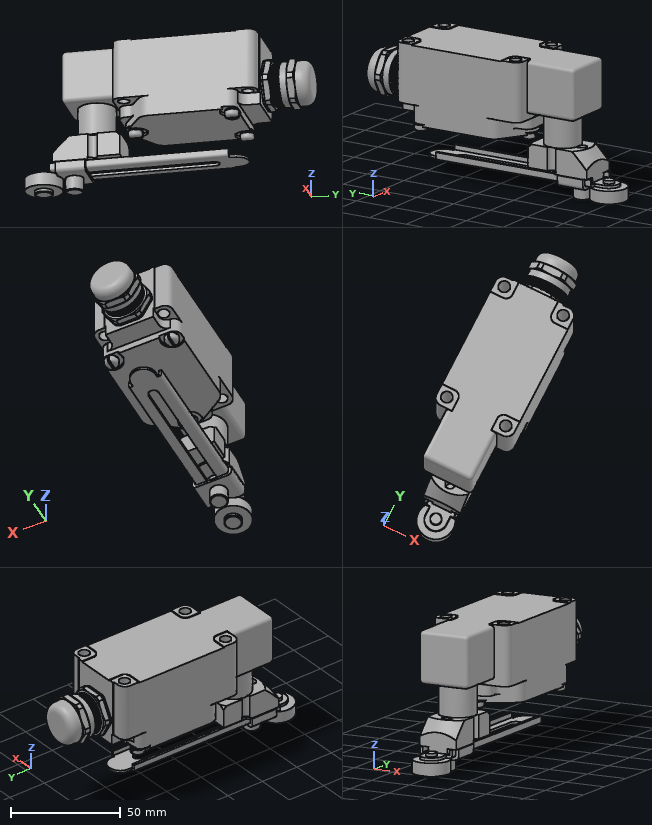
import cadquery as cq
import math


PART_LENGTH = 136.2

CASE_WIDTH = 40.0
CASE_LENGTH = 67.9
PAD_TOP = 28.7
PAD_HEIGHT = 0.4
CASE_TOP = PAD_TOP - PAD_HEIGHT
CASE_CORNER_RADIUS = 4.1
HEAD_WIDTH = 25.8
REAR_FACE_Y = 68.4
PAD_WIDTH = 10.0
PAD_LENGTH = 9.4
PAD_CORNER_RADIUS = 3.3
MOUNT_HOLE_DIAMETER = 5.5
MOUNT_HOLE_X = 15.1
MOUNT_HOLE_FRONT_Y = 4.8
MOUNT_HOLE_PITCH_Y = 58.6

HEAD_LENGTH = 25.5
HEAD_BOTTOM = 2.9
HEAD_FILLET = 2.0

COVER_BOTTOM = -9.8
COVER_REAR_Y = 58.9
COVER_REAR_RADIUS = 4.0
COVER_SIDE_RADIUS = 6.1
COVER_TIP_RADIUS = 4.5
V_ANGLE = math.radians(31.5)
TIP_SCREW_Y = 6.8
V_APEX_Y = TIP_SCREW_Y - COVER_TIP_RADIUS / math.cos(V_ANGLE)
LIP_BOTTOM = -5.7
REAR_NECK_WIDTH = 24.5
FRONT_NECK_WIDTH = 19.6
FRONT_NECK_Y = 0.7
FRONT_NECK_CORNER_RADIUS = 4.1
FRONT_NECK_FILLET = 2.7

REAR_SCREW_X = 15.5
REAR_SCREW_Y = 56.0
SCREW_SEAT_DIAMETER = 11.5
SCREW_SEAT_DEPTH = 1.2
SCREW_HEAD_DIAMETER = 7.0
SCREW_NECK_DIAMETER = 5.2
SCREW_HEAD_TOP = -9.5
SCREW_HEAD_BOTTOM = -12.7
SCREW_HEAD_FILLET = 1.4
SCREW_SLOT_WIDTH = 0.8
SCREW_SLOT_DEPTH = 2.2

GLAND_Z = 7.4
GLAND_END_Y = 90.9
CAP_DIAMETER = 21.4
CAP_START_Y = 76.7
CAP_FILLET = 4.0
HEX_FLATS = 22.1
HEX_CORNER_DIAMETER = 24.1
HEX_TURN = 30
HEX_CHAMFER_LENGTH = 0.4
HEX_CHAMFER_DEPTH = 1.0
CAP_HEX_START_Y = 80.4
CAP_HEX_END_Y = 84.2
BASE_HEX_START_Y = 69.4
BASE_HEX_END_Y = 72.5
COLLAR_FLATS = 21.4
COLLAR_CORNER_DIAMETER = 23.6
THREAD_DIAMETER = 19.9
THREAD_ROOT_DIAMETER = 18.5
THREAD_COUNT = 5

SHAFT_Y = -11.3
SHAFT_DIAMETER = 17.8
CLAMP_WIDTH = 19.2
CLAMP_REAR_Y = 1.6
CLAMP_FRONT_Y = -30.4
CLAMP_TOP = -12.3
CLAMP_REAR_BOTTOM = -23.6
CLAMP_BOTTOM = -24.7
CLAMP_STEP_SIDE_Y = -13.6
CLAMP_STEP_CENTER_Y = -7.6
CLAMP_GROOVE_DIAMETER = 4.5
CONE_TOP_RADIUS = 14.7
CONE_DROP = 3.8
CONE_RUN = 3.2
BOLT_Y = -22.0
BOLT_DIAMETER = 8.5
BOLT_CHAMFER = 0.4
BOLT_HOLE_DIAMETER = 4.5
BOLT_HOLE_DEPTH = 8.2
BOSS_DIAMETER = 12.0
BOSS_FRONT_WIDTH = 9.8
BRACKET_WIDTH = 20.2
BRACKET_REAR_Y = -14.7
BRACKET_FRONT_Y = -28.7
BRACKET_BOTTOM = -30.0
BRACKET_RADIUS = 2.0
ROLLER_CLEARANCE = 0.4

CHANNEL_WIDTH = 16.9
CHANNEL_REAR_Y = 52.6
CHANNEL_FRONT_Y = -32.0
CHANNEL_BOTTOM = -28.5
STRIP_THICKNESS = 1.4
WEB_TOP = CHANNEL_BOTTOM + STRIP_THICKNESS
CHANNEL_BEND_RADIUS = 1.2
SLOT_WIDTH = 5.2
SLOT_REAR_Y = 46.3
SLOT_FRONT_Y = -27.2
TAIL_DIAMETER = 12.8
TAIL_CENTER_Y = 54.1
TONGUE_DIAMETER = 10.6
ROLLER_DIAMETER = 17.8
ROLLER_Y = GLAND_END_Y - PART_LENGTH + ROLLER_DIAMETER / 2
ROLLER_TOP = -28.7
ROLLER_BOTTOM = -35.0
RIVET_DIAMETER = 5.3
RIVET_TOP = -25.6
RIVET_HEAD_DIAMETER = 8.5
RIVET_HEAD_CHAMFER = 0.4
PART_BOTTOM = -36.8


def block(x_range, y_range, z_range):
    """Axis-aligned box between the given limits."""
    (x0, x1), (y0, y1), (z0, z1) = x_range, y_range, z_range
    return cq.Workplane("XY").box(x1 - x0, y1 - y0, z1 - z0, centered=False).translate((x0, y0, z0))


def centered_block(width, y_range, z_range):
    """Box symmetric about X = 0."""
    return block((-width / 2, width / 2), y_range, z_range)


def post(diameter, center, z_range):
    """Vertical cylinder."""
    z0, z1 = z_range
    return cq.Workplane("XY", origin=(*center, z0)).circle(diameter / 2).extrude(z1 - z0)



def case_body():
    """Upper part of the case, its top lowered slightly except at the four mounting pads."""
    case = centered_block(CASE_WIDTH, (0, CASE_LENGTH), (0, PAD_TOP)).edges("|Z").fillet(CASE_CORNER_RADIUS)
    case = case.union(centered_block(HEAD_WIDTH, (CASE_LENGTH / 2, REAR_FACE_Y), (0, PAD_TOP)))
    pad_inner_x = CASE_WIDTH / 2 - PAD_WIDTH
    top_layer = (CASE_TOP, PAD_TOP)
    relief = centered_block(CASE_WIDTH, (0, REAR_FACE_Y), top_layer)
    for x_range, inner_x in (((-CASE_WIDTH / 2, -pad_inner_x), ">X"), ((pad_inner_x, CASE_WIDTH / 2), "<X")):
        for y_range, inner_y in (((0, PAD_LENGTH), ">Y"), ((CASE_LENGTH - PAD_LENGTH, REAR_FACE_Y), "<Y")):
            pad = block(x_range, y_range, top_layer)
            relief = relief.cut(pad.faces(inner_x).edges("|Z").edges(inner_y).fillet(PAD_CORNER_RADIUS))
    return case.cut(relief)


def head_block():
    head = centered_block(HEAD_WIDTH, (-HEAD_LENGTH, 0), (HEAD_BOTTOM, CASE_TOP))
    return head.faces("not >Y").edges("not >Y").fillet(HEAD_FILLET)


def v_side_y(distance):
    """Y of the V-shaped front at a distance from the plane of symmetry."""
    return V_APEX_Y + distance * math.tan(V_ANGLE)


def cover():
    """Cover plate with a straight rear edge and a V-shaped front rounded around the tip screw."""
    half_width = CASE_WIDTH / 2
    shoulder_y = v_side_y(half_width)
    plate = (
        cq.Workplane("XY", origin=(0, 0, COVER_BOTTOM))
        .moveTo(0, V_APEX_Y)
        .lineTo(half_width, shoulder_y)
        .lineTo(half_width, COVER_REAR_Y)
        .lineTo(-half_width, COVER_REAR_Y)
        .lineTo(-half_width, shoulder_y)
        .close()
        .extrude(-COVER_BOTTOM)
    )
    plate = plate.edges("|Z and >Y").fillet(COVER_REAR_RADIUS)
    plate = plate.edges("|Z and <Y").fillet(COVER_TIP_RADIUS)
    for side in (-half_width, half_width):
        shoulder = cq.selectors.NearestToPointSelector((side, shoulder_y, COVER_BOTTOM / 2))
        plate = plate.edges("|Z").edges(shoulder).fillet(COVER_SIDE_RADIUS)
    return plate


def necks():
    """Shallow necks joining the cover to the front and rear of the case, with filleted inner corners."""
    span = (LIP_BOTTOM, 0)
    round_y = COVER_REAR_Y + COVER_REAR_RADIUS
    rear = centered_block(REAR_NECK_WIDTH, (CASE_LENGTH / 2, REAR_FACE_Y), span)
    for side in (-1, 1):
        root_x = side * REAR_NECK_WIDTH / 2
        outer_x = root_x + side * COVER_REAR_RADIUS
        corner = block(sorted((root_x, outer_x)), (COVER_REAR_Y, round_y), span)
        rear = rear.union(corner.cut(post(2 * COVER_REAR_RADIUS, (outer_x, round_y), span)))

    front = centered_block(FRONT_NECK_WIDTH, (FRONT_NECK_Y, CASE_LENGTH / 2), span)
    front = front.edges("|Z and <Y").fillet(FRONT_NECK_CORNER_RADIUS)
    return rear, front


def screw(center):
    """Slotted screw with a rounded head, slot along Y."""
    head = post(SCREW_HEAD_DIAMETER, center, (SCREW_HEAD_BOTTOM, SCREW_HEAD_TOP))
    head = head.faces("<Z").edges().fillet(SCREW_HEAD_FILLET)
    x, y = center
    slot = cq.Workplane("XY").box(SCREW_SLOT_WIDTH, SCREW_HEAD_DIAMETER, SCREW_SLOT_DEPTH)
    head = head.cut(slot.translate((x, y, SCREW_HEAD_BOTTOM + SCREW_SLOT_DEPTH / 2)))
    return head.union(post(SCREW_NECK_DIAMETER, center, (SCREW_HEAD_TOP, COVER_BOTTOM + SCREW_SEAT_DEPTH)))


def make_housing():
    rear_neck, front_neck = necks()
    lower = cover().union(front_neck)
    root_y = v_side_y(FRONT_NECK_WIDTH / 2)
    for side in (-1, 1):
        root = (side * FRONT_NECK_WIDTH / 2, root_y, LIP_BOTTOM / 2)
        lower = lower.edges("|Z").edges(cq.selectors.NearestToPointSelector(root)).fillet(FRONT_NECK_FILLET)
    lower = lower.union(rear_neck)

    screw_centers = [(0, TIP_SCREW_Y), (-REAR_SCREW_X, REAR_SCREW_Y), (REAR_SCREW_X, REAR_SCREW_Y)]
    for center in screw_centers:
        lower = lower.cut(post(SCREW_SEAT_DIAMETER, center, (COVER_BOTTOM, COVER_BOTTOM + SCREW_SEAT_DEPTH)))
    housing = case_body().union(head_block()).union(lower)
    for center in screw_centers:
        housing = housing.union(screw(center))

    for x in (-MOUNT_HOLE_X, MOUNT_HOLE_X):
        for y in (MOUNT_HOLE_FRONT_Y, MOUNT_HOLE_FRONT_Y + MOUNT_HOLE_PITCH_Y):
            housing = housing.cut(post(MOUNT_HOLE_DIAMETER, (x, y), (0, PAD_TOP)))
    return housing



def turned(profile):
    """Solid of revolution about the gland axis from (radius, y) points."""
    outline = cq.Workplane("XY", origin=(0, 0, GLAND_Z)).polyline(profile).close()
    return outline.revolve(360, (0, 0, 0), (0, 1, 0))


def hexagon(flats, corner_diameter, y0, y1, chamfers=0):
    """Hexagon with flats facing Z, corners turned round, and 0, 1 (far end) or 2 ends chamfered."""
    outer = corner_diameter / 2
    inner = outer - HEX_CHAMFER_DEPTH
    near = [(inner, y0), (outer, y0 + HEX_CHAMFER_LENGTH)] if chamfers == 2 else [(outer, y0)]
    far = [(outer, y1 - HEX_CHAMFER_LENGTH), (inner, y1)] if chamfers else [(outer, y1)]
    blank = turned([(0, y0), *near, *far, (0, y1)])
    section = cq.Workplane("XZ", origin=(0, y0, GLAND_Z)).polygon(6, flats, circumscribed=True)
    prism = section.extrude(y0 - y1).rotate((0, 0, GLAND_Z), (0, 1, GLAND_Z), HEX_TURN)
    return blank.intersect(prism)


def thread():
    """Ring-shaped V threads between the base hexagon and the cap."""
    pitch = (CAP_START_Y - BASE_HEX_END_Y) / THREAD_COUNT
    root = THREAD_ROOT_DIAMETER / 2
    points = [(0, BASE_HEX_END_Y), (root, BASE_HEX_END_Y)]
    for i in range(THREAD_COUNT):
        start = BASE_HEX_END_Y + i * pitch
        points += [(THREAD_DIAMETER / 2, start + pitch / 2), (root, start + pitch)]
    return turned([*points, (0, CAP_START_Y)])


def make_gland():
    cap_radius = CAP_DIAMETER / 2
    cap = turned([(0, CAP_START_Y), (cap_radius, CAP_START_Y), (cap_radius, GLAND_END_Y), (0, GLAND_END_Y)])
    cap = cap.faces(">Y").edges().fillet(CAP_FILLET)
    cap_hex = hexagon(HEX_FLATS, HEX_CORNER_DIAMETER, CAP_HEX_START_Y, CAP_HEX_END_Y, chamfers=2)
    base_hex = hexagon(HEX_FLATS, HEX_CORNER_DIAMETER, BASE_HEX_START_Y, BASE_HEX_END_Y, chamfers=1)
    collar = hexagon(COLLAR_FLATS, COLLAR_CORNER_DIAMETER, REAR_FACE_Y, BASE_HEX_START_Y)
    return cap.union(cap_hex).union(thread()).union(base_hex).union(collar)



def clamp():
    body = centered_block(CLAMP_WIDTH, (CLAMP_FRONT_Y, CLAMP_REAR_Y), (CLAMP_REAR_BOTTOM, CLAMP_TOP))
    step = (
        cq.Workplane("XY", origin=(0, 0, CLAMP_BOTTOM))
        .moveTo(-CLAMP_WIDTH / 2, CLAMP_FRONT_Y)
        .lineTo(CLAMP_WIDTH / 2, CLAMP_FRONT_Y)
        .lineTo(CLAMP_WIDTH / 2, CLAMP_STEP_SIDE_Y)
        .threePointArc((0, CLAMP_STEP_CENTER_Y), (-CLAMP_WIDTH / 2, CLAMP_STEP_SIDE_Y))
        .close()
        .extrude(CLAMP_REAR_BOTTOM - CLAMP_BOTTOM)
    )
    for x in (-CLAMP_WIDTH / 2, CLAMP_WIDTH / 2):
        body = body.cut(post(CLAMP_GROOVE_DIAMETER, (x, SHAFT_Y), (CLAMP_REAR_BOTTOM, CLAMP_TOP)))
    body = body.union(step)

    clamp_height = CLAMP_TOP - CLAMP_BOTTOM
    cone = (
        cq.Workplane("XZ", origin=(0, SHAFT_Y, 0))
        .moveTo(0, CLAMP_TOP)
        .lineTo(CONE_TOP_RADIUS, CLAMP_TOP)
        .lineTo(CONE_TOP_RADIUS + clamp_height * CONE_RUN / CONE_DROP, CLAMP_BOTTOM)
        .lineTo(0, CLAMP_BOTTOM)
        .close()
        .revolve(360, (0, 0, 0), (0, 1, 0))
    )
    return body.intersect(cone)


def guide_boss():
    """Boss that rides inside the channel, above its web."""
    span = (WEB_TOP, CLAMP_BOTTOM)
    return post(BOSS_DIAMETER, (0, BOLT_Y), span).union(
        centered_block(BOSS_FRONT_WIDTH, (CLAMP_FRONT_Y, BOLT_Y), span))


def bracket():
    """U-shaped bracket that wraps the channel from below and clears the roller."""
    span_y = (BRACKET_FRONT_Y, BRACKET_REAR_Y)
    shell = centered_block(BRACKET_WIDTH, span_y, (BRACKET_BOTTOM, CLAMP_BOTTOM))
    shell = shell.faces("<Z").edges("|Y").fillet(BRACKET_RADIUS)
    shell = shell.cut(channel_blank(span_y))
    clearance = ROLLER_DIAMETER + 2 * ROLLER_CLEARANCE
    return shell.cut(post(clearance, (0, ROLLER_Y), (BRACKET_BOTTOM, CHANNEL_BOTTOM)))


def make_holder():
    shaft = post(SHAFT_DIAMETER, (0, SHAFT_Y), (CLAMP_TOP, HEAD_BOTTOM))
    bolt = post(BOLT_DIAMETER, (0, BOLT_Y), (PART_BOTTOM, BRACKET_BOTTOM)).faces("<Z").chamfer(BOLT_CHAMFER)
    shank = post(SLOT_WIDTH, (0, BOLT_Y), (BRACKET_BOTTOM, WEB_TOP))
    holder = clamp().union(shaft).union(guide_boss()).union(bracket()).union(bolt).union(shank)
    return holder.cut(post(BOLT_HOLE_DIAMETER, (0, BOLT_Y), (CLAMP_TOP - BOLT_HOLE_DEPTH, CLAMP_TOP)))



def channel_blank(y_range):
    """Outer envelope of the channel, with its bends rounded."""
    blank = centered_block(CHANNEL_WIDTH, y_range, (CHANNEL_BOTTOM, CLAMP_BOTTOM))
    return blank.faces("<Z").edges("|Y").fillet(CHANNEL_BEND_RADIUS)


def strip_end(diameter, center_y, joint_y):
    """Flat end of the strip, reaching from the channel to a round tip."""
    span = (CHANNEL_BOTTOM, WEB_TOP)
    y_range = sorted((center_y, joint_y))
    return centered_block(diameter, y_range, span).union(post(diameter, (0, center_y), span))


def make_lever():
    span_y = (CHANNEL_FRONT_Y, CHANNEL_REAR_Y)
    inner_width = CHANNEL_WIDTH - 2 * STRIP_THICKNESS
    strip = channel_blank(span_y).cut(centered_block(inner_width, span_y, (WEB_TOP, CLAMP_BOTTOM)))
    slot_length = SLOT_REAR_Y - SLOT_FRONT_Y
    slot = (
        cq.Workplane("XY", origin=(0, (SLOT_REAR_Y + SLOT_FRONT_Y) / 2, CHANNEL_BOTTOM))
        .slot2D(slot_length, SLOT_WIDTH, 90)
        .extrude(STRIP_THICKNESS)
    )
    strip = strip.cut(slot)
    strip = strip.union(strip_end(TAIL_DIAMETER, TAIL_CENTER_Y, CHANNEL_REAR_Y))
    strip = strip.union(strip_end(TONGUE_DIAMETER, ROLLER_Y, CHANNEL_FRONT_Y))

    axis = (0, ROLLER_Y)
    roller = post(ROLLER_DIAMETER, axis, (ROLLER_BOTTOM, ROLLER_TOP))
    rivet = post(RIVET_DIAMETER, axis, (ROLLER_TOP, RIVET_TOP))
    rivet_head = post(RIVET_HEAD_DIAMETER, axis, (PART_BOTTOM, ROLLER_BOTTOM))
    rivet_head = rivet_head.faces("<Z").chamfer(RIVET_HEAD_CHAMFER)
    return strip.union(roller).union(rivet).union(rivet_head)


housing = make_housing()
gland = make_gland()
holder = make_holder()
lever = make_lever()

bodies = (housing, gland, holder, lever)
result = cq.Compound.makeCompound([body.solids().val() for body in bodies])